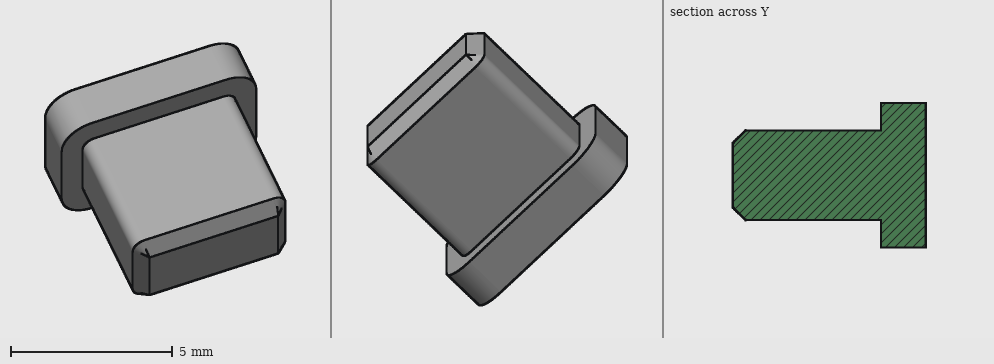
import cadquery as cq

total_length = 6.0
head_width = 6.5
head_height = 4.5
head_thickness = 1.4
head_corner_radius = 1.0

stem_width = 5.1
stem_height = 2.8
stem_edge_radius = 0.4
tip_chamfer = stem_edge_radius
stem_length = total_length - head_thickness


def make_head():
    return (
        cq.Workplane("YZ")
        .rect(head_width, head_height)
        .extrude(head_thickness)
        .edges("|X")
        .fillet(head_corner_radius)
    )


def make_stem():
    return (
        cq.Workplane("YZ")
        .workplane(offset=head_thickness)
        .rect(stem_width, stem_height)
        .extrude(stem_length)
        .edges("|X")
        .fillet(stem_edge_radius)
        .faces(">X")
        .chamfer(tip_chamfer)
    )


result = make_head().union(make_stem())